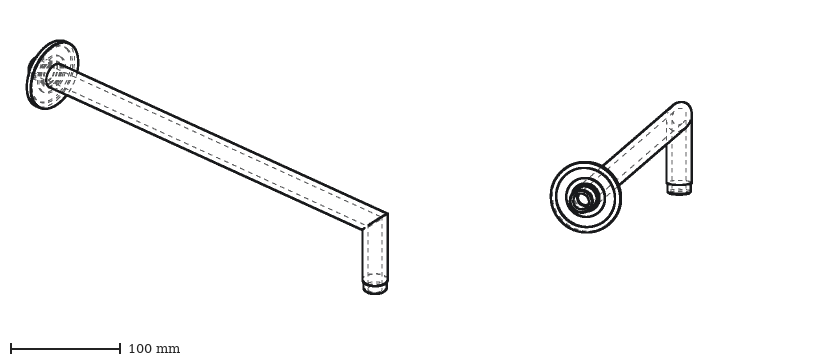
import cadquery as cq

total_length = 430.0
total_height = 103.0
flange_diameter = 65.0
flange_radius = flange_diameter / 2
leg_bottom = flange_radius - total_height

tube_diameter = 23.2
tube_radius = tube_diameter / 2
bore_radius = 6.5
inlet_radius = 7.5
leg_x = total_length - tube_radius
shoulder_x = 16.8

stub_radius = 10.8
nipple_radius = 10.8
nipple_length = 9.5
nipple_chamfer = 1.5
stub_chamfer = 1.0

flange_back_x = 18.5
flange_thickness = 5.0
flange_chamfer = 0.5
recess_outer_radius = 27.5
recess_inner_radius = 18.0
recess_depth = 2.0
counterbore_radius = 13.0


def rod_along_x(radius, start, end):
    return cq.Workplane("YZ", origin=(start, 0, 0)).circle(radius).extrude(end - start)


def rod_along_z(radius, bottom, top):
    return cq.Workplane("XY", origin=(leg_x, 0, bottom)).circle(radius).extrude(top - bottom)


def mitred_elbow(radius, start, bottom):
    """Horizontal and vertical rods of equal radius meeting in a 45 degree mitre."""
    horizontal = rod_along_x(radius, start, leg_x + radius)
    vertical = rod_along_z(radius, bottom, radius)
    corner = horizontal.intersect(vertical)
    straight_run = rod_along_x(radius, start, leg_x)
    straight_leg = rod_along_z(radius, bottom, 0)
    return straight_run.union(straight_leg).union(corner)


def make_arm():
    nipple_top = leg_bottom + nipple_length
    stub = rod_along_x(stub_radius, 0, shoulder_x).faces("<X").chamfer(stub_chamfer)
    nipple = rod_along_z(nipple_radius, leg_bottom, nipple_top).faces("<Z").chamfer(nipple_chamfer)
    body = mitred_elbow(tube_radius, shoulder_x, nipple_top).union(stub).union(nipple)
    inlet = rod_along_x(inlet_radius, 0, shoulder_x)
    return body.cut(inlet).cut(mitred_elbow(bore_radius, 0, leg_bottom))


def make_flange():
    disc = rod_along_x(flange_radius, flange_back_x, flange_back_x + flange_thickness)
    disc = disc.faces(">X").chamfer(flange_chamfer)
    recess_floor_x = flange_back_x + recess_depth
    recess = rod_along_x(recess_outer_radius, flange_back_x, recess_floor_x)
    hub = rod_along_x(recess_inner_radius, flange_back_x, recess_floor_x)
    tube_hole = rod_along_x(tube_radius, flange_back_x, flange_back_x + flange_thickness)
    counterbore = rod_along_x(counterbore_radius, flange_back_x, recess_floor_x)
    return disc.cut(recess.cut(hub)).cut(tube_hole).cut(counterbore)


arm = make_arm()
flange = make_flange()
result = cq.Compound.makeCompound([arm.val(), flange.val()])